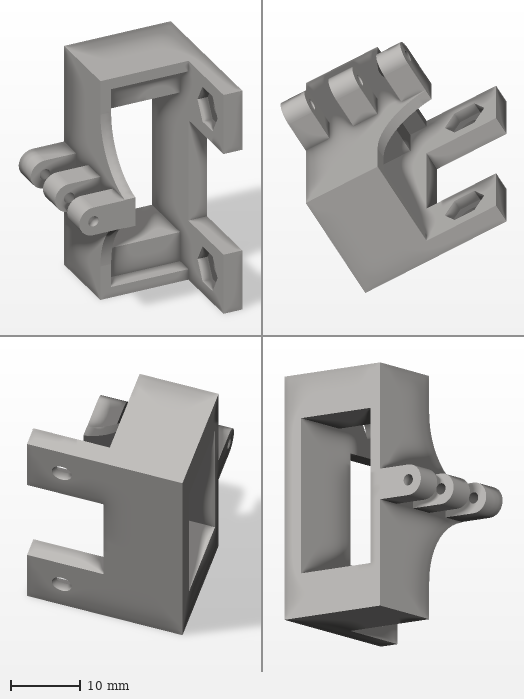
import cadquery as cq

height = 35.9
total_width = 23.6
total_depth = 24.45

box_width = 12.0
box_depth = 17.15
back_wall = 3.0
front_wall = 1.72
window_height = 22.9
recess_start = 9.25
recess_wall = front_wall

ear_height = 9.7
screw_x = 18.3
screw_diameter = 3.0
nut_corner_diameter = 6.6
nut_depth = 1.65

lug_count = 3
lug_width = box_width / 3
lug_pitch = 2 * lug_width
lug_height = 4.52
pin_diameter = 1.65

tongue_curve_radius = 10.4
tongue_curve_start = 5.5

box_front = total_depth - box_depth
ear_front = total_depth - back_wall
mid_height = height / 2
lug_radius = lug_height / 2
tongue_end = (lug_count - 1) * lug_pitch + lug_width


def block(x, y, z, width, depth, tall):
    """Box placed by its minimum corner."""
    return cq.Workplane("XY").box(width, depth, tall, centered=False).translate((x, y, z))


def make_box():
    """Box with the through window and the taller recess at its +X end."""
    body = block(0, box_front, 0, box_width, box_depth, height)
    inner_y = box_front + front_wall
    inner_depth = box_depth - front_wall - back_wall
    window_bottom = mid_height - window_height / 2
    window = block(0, inner_y, window_bottom, box_width, inner_depth, window_height)
    recess = block(
        recess_start,
        inner_y,
        recess_wall,
        box_width - recess_start,
        inner_depth,
        height - 2 * recess_wall,
    )
    return body.cut(window).cut(recess)


def make_tongue():
    """Extension of the front wall, narrowed by a concave curve above and below."""
    tongue = block(
        box_width,
        box_front,
        tongue_curve_start,
        tongue_end - box_width,
        front_wall,
        height - 2 * tongue_curve_start,
    )
    for curve_z in (tongue_curve_start, height - tongue_curve_start):
        curve = (
            cq.Workplane("XZ", origin=(box_width + tongue_curve_radius, box_front, curve_z))
            .circle(tongue_curve_radius)
            .extrude(-front_wall)
        )
        tongue = tongue.cut(curve)
    return tongue


def make_ear(bottom):
    """Back wall ear with a screw hole and a hexagonal nut pocket in its front face."""
    ear = block(box_width, ear_front, bottom, total_width - box_width, back_wall, ear_height)
    face = cq.Workplane("XZ", origin=(screw_x, ear_front, bottom + ear_height / 2))
    hole = face.circle(screw_diameter / 2).extrude(-back_wall)
    nut_pocket = face.polygon(6, nut_corner_diameter).extrude(-nut_depth)
    return ear.cut(hole).cut(nut_pocket)


def make_lug(start_x):
    """Round-ended hinge lug, rooted in the front wall, with a pin hole along X."""
    shank = block(
        start_x,
        lug_radius,
        mid_height - lug_radius,
        lug_width,
        box_front + front_wall - lug_radius,
        lug_height,
    )
    pin_axis = cq.Workplane("YZ", origin=(start_x, lug_radius, mid_height))
    rounded_end = pin_axis.circle(lug_radius).extrude(lug_width)
    pin_hole = pin_axis.circle(pin_diameter / 2).extrude(lug_width)
    return shank.union(rounded_end).cut(pin_hole)


result = make_box().union(make_tongue())
for ear_bottom in (0, height - ear_height):
    result = result.union(make_ear(ear_bottom))
for lug_index in range(lug_count):
    result = result.union(make_lug(lug_index * lug_pitch))